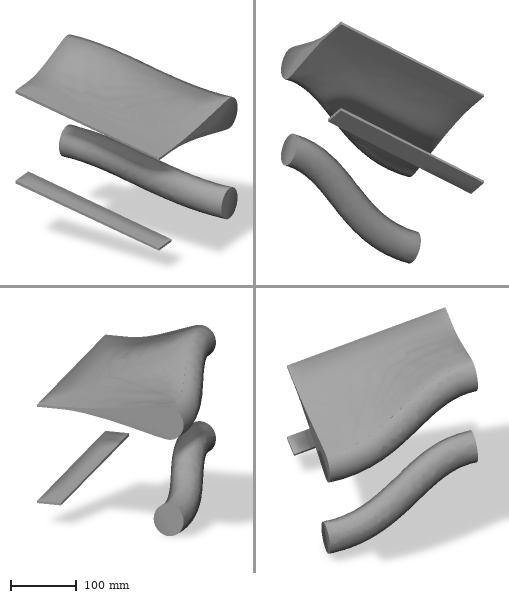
import cadquery as cq
import math

length = 250.0
tube_diameter = 50.0
tube_offset_y = 59.8
tube_drop = 73.2
axis_start_handle = 93.7
axis_end_handle = 114.7
pair_spacing = 150.0
edge_distance = 160.0
plate_width = 40.0
plate_start_top, plate_start_bottom = -4.6, -9.3
plate_end_top, plate_end_bottom = -63.5, -67.0
wing_tube_handle = 19.0
wing_plate_handle = 0.37
section_count = 13

tube_radius = tube_diameter / 2
plate_inner_y = plate_width - edge_distance
plate_outer_y = -edge_distance

axis_start = cq.Vector(0, 0, 0)
axis_end = cq.Vector(length, tube_offset_y, -tube_drop)
axis_poles = [
    axis_start,
    axis_start + cq.Vector(axis_start_handle, 0, 0),
    axis_end - cq.Vector(axis_end_handle, 0, 0),
    axis_end,
]
tube_axis = cq.Edge.makeBezier(axis_poles)


def make_tube():
    """Full round tube along the axis."""
    profile = cq.Workplane("YZ").circle(tube_radius)
    return profile.sweep(cq.Workplane(tube_axis))


def make_half_tube():
    """Half of the tube on its +Y side, split along the swept vertical diameter."""
    profile = (
        cq.Workplane("YZ")
        .moveTo(0, -tube_radius)
        .threePointArc((tube_radius, 0), (0, tube_radius))
        .close()
    )
    return profile.sweep(cq.Workplane(tube_axis))


def swept_diameter(fraction):
    """Bottom and top ends of the diameter that starts vertical, at a fraction of the axis."""
    centre = tube_axis.positionAt(fraction, mode="parameter")
    tangent = tube_axis.tangentAt(fraction, mode="parameter")
    plane_normal = cq.Vector(0, tube_drop, tube_offset_y) / math.hypot(tube_offset_y, tube_drop)
    in_plane = tangent.cross(plane_normal)
    across = cq.Vector(1, 0, 0).cross(plane_normal)
    up = plane_normal * plane_normal.z + in_plane * across.z
    return centre - up * tube_radius, centre + up * tube_radius


def between(start, end, fraction):
    return start + (end - start) * fraction


def plate_corners(fraction):
    """Inner bottom, outer bottom, outer top and inner top of the plate at a fraction of X."""
    x = length * fraction
    bottom = between(plate_start_bottom, plate_end_bottom, fraction)
    top = between(plate_start_top, plate_end_top, fraction)
    return [
        cq.Vector(x, plate_inner_y, bottom),
        cq.Vector(x, plate_outer_y, bottom),
        cq.Vector(x, plate_outer_y, top),
        cq.Vector(x, plate_inner_y, top),
    ]


def make_plate():
    """Thin sloping plate that tapers along X."""
    ends = [cq.Wire.makePolygon(plate_corners(fraction), close=True) for fraction in (0, 1)]
    return cq.Workplane(cq.Solid.makeLoft(ends, True))


def blend_poles(tube_point, plate_point):
    """Poles of an S curve that leaves the tube and meets the plate along Y."""
    tube_handle = cq.Vector(0, -wing_tube_handle, 0)
    plate_handle = cq.Vector(0, wing_plate_handle * (tube_point.y - plate_point.y), 0)
    return [tube_point, tube_point + tube_handle, plate_point + plate_handle, plate_point]


def wing_section(fraction):
    bottom, top = swept_diameter(fraction)
    x_fraction = tube_axis.positionAt(fraction, mode="parameter").x / length
    inner_bottom, outer_bottom, outer_top, inner_top = plate_corners(x_fraction)
    return cq.Wire.assembleEdges([
        cq.Edge.makeBezier(blend_poles(bottom, inner_bottom)),
        cq.Edge.makeLine(inner_bottom, outer_bottom),
        cq.Edge.makeLine(outer_bottom, outer_top),
        cq.Edge.makeLine(outer_top, inner_top),
        cq.Edge.makeBezier(list(reversed(blend_poles(top, inner_top)))),
        cq.Edge.makeLine(top, bottom),
    ])


def make_wing():
    """Blend from the split face of the half tube to a thin flat edge."""
    sections = [wing_section(i / (section_count - 1)) for i in range(section_count)]
    return cq.Workplane(cq.Solid.makeLoft(sections))


lower_place = cq.Vector(0, 0, -pair_spacing)
half_tube = make_half_tube()
wing = make_wing()
tube = make_tube().translate(lower_place)
plate = make_plate().translate(lower_place)

result = cq.Compound.makeCompound([half_tube.val(), wing.val(), tube.val(), plate.val()])